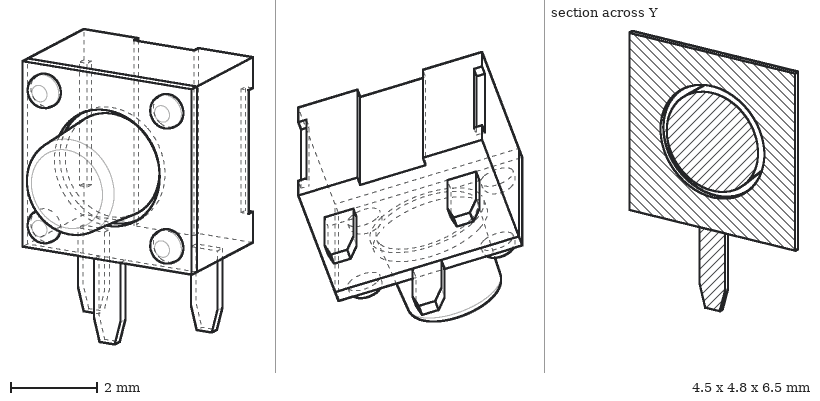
import cadquery as cq


BODY_SIZE = 4.5
BODY_DEPTH = 2.9
COVER_THICKNESS = 0.25
COVER_HOLE_DIAMETER = 2.8

RECESS_DEPTH = 0.2
REAR_SLOT_WIDTH = 1.6
SIDE_NOTCH_HEIGHT = 2.995
SIDE_NOTCH_REACH = RECESS_DEPTH

STUD_DIAMETER = 0.8
STUD_HEIGHT = 0.3
STUD_ROUNDING = 0.2
STUD_PITCH_X = 3.255
STUD_PITCH_Z = 3.275

BUTTON_BASE_DIAMETER = 2.5
BUTTON_TIP_DIAMETER = 2.275
BUTTON_PROJECTION = 1.9
BUTTON_ROUNDING = 0.2

TERMINAL_WIDTH = 0.7
TERMINAL_TIP_WIDTH = 0.4
TERMINAL_LENGTH = 2.0
TERMINAL_TAPER_LENGTH = 0.565
TERMINAL_THICKNESS = COVER_THICKNESS
TERMINAL_PITCH = 1.5
REAR_TERMINAL_OFFSET = 1.92

HALF_BODY = BODY_SIZE / 2
HOUSING_DEPTH = BODY_DEPTH - COVER_THICKNESS


def block(width, depth, height, x=0, front_y=0):
    """Box centred on x and on Z = 0 whose front face lies at front_y."""
    return cq.Workplane("XY").box(width, depth, height).translate((x, front_y + depth / 2, 0))


def make_housing():
    """Square block with a full-height slot in its rear face and a notch in each rear side edge."""
    housing = block(BODY_SIZE, HOUSING_DEPTH, BODY_SIZE, front_y=COVER_THICKNESS)
    recess_floor = BODY_DEPTH - RECESS_DEPTH
    housing = housing.cut(block(REAR_SLOT_WIDTH, RECESS_DEPTH, BODY_SIZE, front_y=recess_floor))
    notch_x = HALF_BODY - SIDE_NOTCH_REACH / 2
    for x in (-notch_x, notch_x):
        notch = block(SIDE_NOTCH_REACH, RECESS_DEPTH, SIDE_NOTCH_HEIGHT, x=x, front_y=recess_floor)
        housing = housing.cut(notch)
    return housing.solids()


def make_cover():
    """Square plate with a clearance hole for the button and a rounded stud near each corner."""
    cover = block(BODY_SIZE, COVER_THICKNESS, BODY_SIZE)
    hole = cq.Workplane("XZ").circle(COVER_HOLE_DIAMETER / 2).extrude(-COVER_THICKNESS)
    studs = (
        cq.Workplane("XZ")
        .rect(STUD_PITCH_X, STUD_PITCH_Z, forConstruction=True)
        .vertices()
        .circle(STUD_DIAMETER / 2)
        .extrude(STUD_HEIGHT)
        .faces("<Y")
        .edges()
        .fillet(STUD_ROUNDING)
    )
    return cover.cut(hole).union(studs).solids()


def make_button():
    """Tapered round button standing on the housing, with a rounded tip edge."""
    profile = [
        (0, COVER_THICKNESS),
        (BUTTON_BASE_DIAMETER / 2, COVER_THICKNESS),
        (BUTTON_TIP_DIAMETER / 2, -BUTTON_PROJECTION),
        (0, -BUTTON_PROJECTION),
    ]
    button = cq.Workplane("XY").polyline(profile).close().revolve(360, (0, 0), (0, 1))
    return button.faces("<Y").edges().fillet(BUTTON_ROUNDING).solids()


def make_terminal(x, front_y):
    """Flat pin with a tapered tip, hanging from the underside of the body."""
    half_width = TERMINAL_WIDTH / 2
    half_tip = TERMINAL_TIP_WIDTH / 2
    top = -HALF_BODY
    tip = top - TERMINAL_LENGTH
    taper_start = tip + TERMINAL_TAPER_LENGTH
    outline = [
        (-half_width, top),
        (half_width, top),
        (half_width, taper_start),
        (half_tip, tip),
        (-half_tip, tip),
        (-half_width, taper_start),
    ]
    terminal = cq.Workplane("XZ").polyline(outline).close().extrude(-TERMINAL_THICKNESS)
    return terminal.translate((x, front_y, 0))


housing = make_housing()
cover = make_cover()
button = make_button()

terminal_places = [
    (-TERMINAL_PITCH, REAR_TERMINAL_OFFSET),
    (0, 0),
    (TERMINAL_PITCH, REAR_TERMINAL_OFFSET),
]
terminals = [make_terminal(x, front_y) for x, front_y in terminal_places]

result = cq.Compound.makeCompound(
    [housing.val(), cover.val(), button.val(), *[terminal.val() for terminal in terminals]]
)